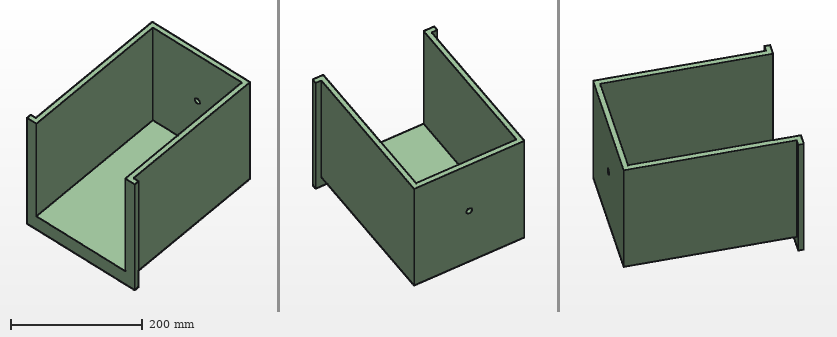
import cadquery as cq

length = 280.0
flange_width = 217.0
height = 230.0
wall = 9.0
flange_overhang = 10.0
body_drop = 20.0

back_hole_diameter = 10.0
back_hole_height = 130.0
floor_hole_diameter = 2.5
floor_hole_inset = 19.0

body_width = flange_width - 2 * flange_overhang
cavity_width = body_width - 2 * wall
cavity_length = length - wall
cavity_bottom = body_drop + wall


def block(width, depth, bottom):
    """Block centred on X, from the front face back to depth, from bottom up to the rim."""
    return (
        cq.Workplane("XY", origin=(0, 0, bottom))
        .box(width, depth, height - bottom, centered=(True, False, False))
    )


body = block(body_width, length, body_drop)
flange = block(flange_width, wall, 0)
cavity = block(cavity_width, cavity_length, cavity_bottom)

back_hole = (
    cq.Workplane("XZ", origin=(0, length, back_hole_height))
    .circle(back_hole_diameter / 2)
    .extrude(wall)
)

floor_hole = (
    cq.Workplane("XY", origin=(0, length - floor_hole_inset, body_drop))
    .circle(floor_hole_diameter / 2)
    .extrude(wall)
)

result = body.union(flange).cut(cavity).cut(back_hole).cut(floor_hole)